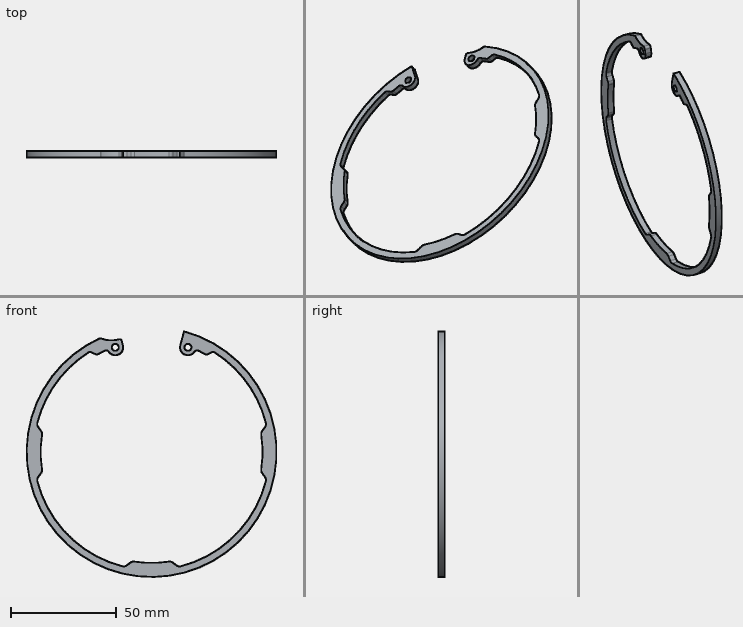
import cadquery as cq
import math

outer_radius = 59.0
band_inner_radius = 55.5
band_middle_radius = (outer_radius + band_inner_radius) / 2
thickness = 3.2

pad_radius = 52.2
pad_angles = (0, 180, 270)
pad_tip_half_angle = 10.0
pad_root_half_angle = 13.2
pad_fillet = 2.4

gap_half_angle = 15.0
lug_radius = 3.8
lug_distance = 52.1
hole_diameter = 3.2
lug_valley = (20.3, 48.7)
lug_bump = (25.8, 45.8)
lug_root_angle = 31.6
lug_fillet = 1.4
tip_fillet = 0.2

relief_start_angle = 24.2
relief_middle = (-18.5, 52.7)
relief_end = (-13.9, 53.8)
relief_corner_fillet = 1.2


def plane():
    return cq.Workplane("XZ")


def slab(sketch):
    """Extrude a closed outline to the ring thickness, centred on Y = 0."""
    return sketch.extrude(thickness / 2, both=True)


def polar(radius, angle):
    """Point at an angle in degrees from +X."""
    turn = math.radians(angle)
    return radius * math.cos(turn), radius * math.sin(turn)


def from_top(radius, angle):
    """Point at an angle in degrees from +Z, positive toward +X."""
    return polar(radius, 90 - angle)


def round_corner(body, point, radius):
    """Fillet the thickness-wise edge through the given outline corner."""
    x, z = point
    corner = cq.selectors.NearestToPointSelector((x, 0, z))
    return body.edges("|Y").edges(corner).fillet(radius)


def make_band():
    band = slab(plane().circle(outer_radius).circle(band_inner_radius))
    reach = 2 * outer_radius
    gap = plane().polyline(
        [(0, 0), from_top(reach, -gap_half_angle), from_top(reach, gap_half_angle)]
    ).close()
    return band.cut(slab(gap))


def make_pad(angle):
    first_root = angle - pad_root_half_angle
    last_root = angle + pad_root_half_angle
    outline = (
        plane()
        .moveTo(*polar(band_middle_radius, first_root))
        .lineTo(*polar(band_inner_radius, first_root))
        .lineTo(*polar(pad_radius, angle - pad_tip_half_angle))
        .threePointArc(polar(pad_radius, angle), polar(pad_radius, angle + pad_tip_half_angle))
        .lineTo(*polar(band_inner_radius, last_root))
        .lineTo(*polar(band_middle_radius, last_root))
        .threePointArc(polar(band_middle_radius, angle), polar(band_middle_radius, first_root))
        .close()
    )
    return slab(outline)


def lug_center(side):
    center_radius = math.hypot(lug_distance, lug_radius)
    offset_angle = math.degrees(math.atan2(lug_radius, lug_distance))
    return from_top(center_radius, side * (gap_half_angle + offset_angle))


def make_lug(side):
    """Lug right (side = 1) or left (side = -1) of the gap."""
    middle_angle = (gap_half_angle + lug_root_angle) / 2
    web = (
        plane()
        .moveTo(*from_top(lug_distance, side * gap_half_angle))
        .lineTo(*from_top(band_middle_radius, side * gap_half_angle))
        .threePointArc(
            from_top(band_middle_radius, side * middle_angle),
            from_top(band_middle_radius, side * lug_root_angle),
        )
        .lineTo(*from_top(band_inner_radius, side * lug_root_angle))
        .lineTo(side * lug_bump[0], lug_bump[1])
        .lineTo(side * lug_valley[0], lug_valley[1])
        .lineTo(*lug_center(side))
        .close()
    )
    eye = plane().center(*lug_center(side)).circle(lug_radius)
    return slab(web).union(slab(eye))


def make_relief():
    start = from_top(outer_radius, -relief_start_angle)
    outline = (
        plane()
        .moveTo(*start)
        .threePointArc(relief_middle, relief_end)
        .lineTo(relief_end[0], outer_radius)
        .lineTo(start[0], outer_radius)
        .close()
    )
    return slab(outline)


result = make_band()
for pad_angle in pad_angles:
    result = result.union(make_pad(pad_angle))
for lug_side in (-1, 1):
    result = result.union(make_lug(lug_side))
result = result.cut(make_relief())

for pad_angle in pad_angles:
    for direction in (-1, 1):
        tip = polar(pad_radius, pad_angle + direction * pad_tip_half_angle)
        root = polar(band_inner_radius, pad_angle + direction * pad_root_half_angle)
        result = round_corner(result, tip, pad_fillet)
        result = round_corner(result, root, pad_fillet)

for lug_side in (-1, 1):
    result = round_corner(result, from_top(band_inner_radius, lug_side * lug_root_angle), lug_fillet)
    result = round_corner(result, (lug_side * lug_bump[0], lug_bump[1]), lug_fillet)
    result = round_corner(result, (lug_side * lug_valley[0], lug_valley[1]), lug_fillet)
    hole = plane().center(*lug_center(lug_side)).circle(hole_diameter / 2)
    result = result.cut(slab(hole))

result = round_corner(result, from_top(outer_radius, gap_half_angle), tip_fillet)
result = round_corner(result, from_top(outer_radius, -relief_start_angle), tip_fillet)
result = round_corner(result, relief_end, relief_corner_fillet)